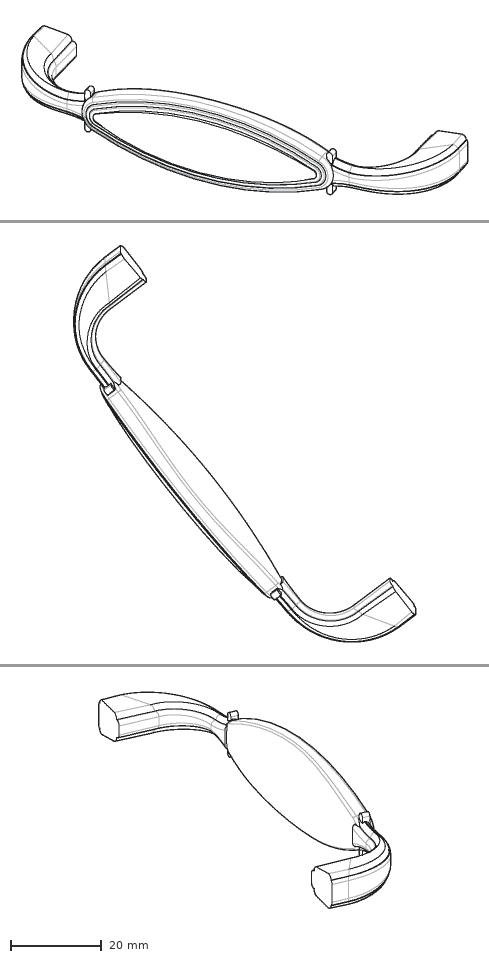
import cadquery as cq
import math


LENGTH = 106.0
HALF_LENGTH = LENGTH / 2
FOOT_DEPTH = 9.3
OUTER_BEND_RADIUS = 18.1
INNER_BEND_RADIUS = 8.5
OUTER_BEND_Y = -4.2
NECK_FRONT_Y = OUTER_BEND_Y - OUTER_BEND_RADIUS
NECK_THICKNESS = 3.8
NECK_BACK_Y = NECK_FRONT_Y + NECK_THICKNESS
INNER_BEND_Y = NECK_BACK_Y + INNER_BEND_RADIUS
OUTER_BEND_X = -HALF_LENGTH + OUTER_BEND_RADIUS
INNER_BEND_X = -HALF_LENGTH + FOOT_DEPTH + INNER_BEND_RADIUS
BEND_STEPS = 14
NECK_END_X = -29.0

NECK_WAIST_X = -36.0
NECK_HALF_HEIGHT = 5.6 / 2
FOOT_FLARE = 1.6
FOOT_FLARE_POWER = 1.4
NECK_FLARE_RADIUS = 19.1

MOULDING_HEIGHT = 2.2
NOTCH_HEIGHT = 1.3
OUTER_MOULDING = 1.5
OUTER_LOWER_BEAD = 0.2
INNER_MOULDING = 2.1
INNER_LOWER_BEAD = 1.0
NOTCH_WIDTH = 0.2

PLATE_HALF_HEIGHT = 20.0 / 2
PLATE_SIDE_RADIUS = 71.3
PLATE_TIP_RADIUS = 4.6
RIM_Y = -23.3
RIM_ROUND = 0.8
BACK_Y = -16.5
BACK_LONG_RADIUS = 177.0
BACK_CROSS_RADIUS = 15.5
BACK_EDGE_ROUND = 0.7
CROWN_MARGIN = 1.1

INSERT_INSET = 1.4
POCKET_DEPTH = 1.1
POCKET_FLOOR_Y = RIM_Y + POCKET_DEPTH
BEADS = ((INSERT_INSET, 0.3), (2.3, 0.5))
BEAD_ROUND = 0.26
DOME_INSET = 3.4
FRONT_Y = -25.3
FRONT_LONG_RADIUS = 286.2
FRONT_CROSS_RADIUS = 36.0

KNOB_X = 29.9
KNOB_RADIUS = 0.7
KNOB_REACH = 5.4
KNOB_BACK_Y = -20.1
KNOB_LENGTH = 1.9
KNOB_ROOT_Z = 2.6


def leg_half_height(x):
    """Half height of a leg: waisted at the neck, flaring to the foot and to the plate."""
    distance = NECK_WAIST_X - x
    if distance > 0:
        flare_length = HALF_LENGTH + NECK_WAIST_X
        return NECK_HALF_HEIGHT + FOOT_FLARE * (distance / flare_length) ** FOOT_FLARE_POWER
    return NECK_HALF_HEIGHT + distance**2 / (2 * NECK_FLARE_RADIUS)


def bead_arc(side_end, top_end):
    """Convex arc that leaves side_end vertically and ends at top_end."""
    upright = cq.Vector(0, 0, top_end.z - side_end.z)
    return cq.Edge.makeTangentArc(side_end, upright, top_end)


def leg_section(outer, inner):
    """Closed moulded section in the vertical plane through an outer and an inner XY point."""
    outer = cq.Vector(*outer)
    inner = cq.Vector(*inner)
    across = (inner - outer).normalized()

    def corner(from_edge, direction, width, lower_bead):
        """Four moulding points from the flat side up to the flat top."""
        places = (
            (0, MOULDING_HEIGHT),
            (lower_bead, NOTCH_HEIGHT),
            (lower_bead + NOTCH_WIDTH, NOTCH_HEIGHT),
            (width, 0),
        )
        points = []
        for inset, drop in places:
            flat = from_edge + direction * inset
            points.append(cq.Vector(flat.x, flat.y, leg_half_height(flat.x) - drop))
        return points

    def mirrored(points):
        return [cq.Vector(p.x, p.y, -p.z) for p in points]

    outer_top = corner(outer, across, OUTER_MOULDING, OUTER_LOWER_BEAD)
    inner_top = corner(inner, across * -1, INNER_MOULDING, INNER_LOWER_BEAD)
    outer_bottom = mirrored(outer_top)
    inner_bottom = mirrored(inner_top)

    def moulding(points):
        """Lower bead, notch and upper bead of one corner, from the side to the top or bottom."""
        return [
            bead_arc(points[0], points[1]),
            cq.Edge.makeLine(points[1], points[2]),
            bead_arc(points[2], points[3]),
        ]

    edges = [
        *moulding(outer_top),
        cq.Edge.makeLine(outer_top[-1], inner_top[-1]),
        *reversed(moulding(inner_top)),
        cq.Edge.makeLine(inner_top[0], inner_bottom[0]),
        *moulding(inner_bottom),
        cq.Edge.makeLine(inner_bottom[-1], outer_bottom[-1]),
        *reversed(moulding(outer_bottom)),
        cq.Edge.makeLine(outer_bottom[0], outer_top[0]),
    ]
    return cq.Wire.assembleEdges(edges)


def make_left_leg():
    """Straight foot, tapering bend and neck that runs into the plate."""
    bend = []
    for step in range(BEND_STEPS + 1):
        angle = math.radians(90 * step / BEND_STEPS)
        outer = (
            OUTER_BEND_X - OUTER_BEND_RADIUS * math.cos(angle),
            OUTER_BEND_Y - OUTER_BEND_RADIUS * math.sin(angle),
        )
        inner = (
            INNER_BEND_X - INNER_BEND_RADIUS * math.cos(angle),
            INNER_BEND_Y - INNER_BEND_RADIUS * math.sin(angle),
        )
        bend.append(leg_section(outer, inner))
    foot_end = leg_section((-HALF_LENGTH, 0), (-HALF_LENGTH + FOOT_DEPTH, 0))
    neck_middle_x = (OUTER_BEND_X + NECK_END_X) / 2
    neck = [leg_section((x, NECK_FRONT_Y), (x, NECK_BACK_Y)) for x in (neck_middle_x, NECK_END_X)]
    foot_solid = cq.Solid.makeLoft([foot_end, bend[0]], True)
    bend_solid = cq.Solid.makeLoft(bend)
    neck_solid = cq.Solid.makeLoft([bend[-1]] + neck)
    return cq.Workplane(foot_solid).union(cq.Workplane(bend_solid)).union(cq.Workplane(neck_solid))


def almond(inset, back_y, front_y):
    """Prism along Y: two side arcs joined by rounded tips, inset from the plate outline."""
    side_radius = PLATE_SIDE_RADIUS - inset
    tip_radius = PLATE_TIP_RADIUS - inset
    side_centre = PLATE_SIDE_RADIUS - PLATE_HALF_HEIGHT
    tip_centre = math.sqrt((side_radius - tip_radius) ** 2 - side_centre**2)
    lean = math.atan2(tip_centre, side_centre)
    join_x = side_radius * math.sin(lean)
    join_z = side_radius * math.cos(lean) - side_centre
    return (
        cq.Workplane("XZ", origin=(0, back_y, 0))
        .moveTo(-join_x, join_z)
        .threePointArc((0, side_radius - side_centre), (join_x, join_z))
        .threePointArc((tip_centre + tip_radius, 0), (join_x, -join_z))
        .threePointArc((0, side_centre - side_radius), (-join_x, -join_z))
        .threePointArc((-tip_centre - tip_radius, 0), (-join_x, join_z))
        .close()
        .extrude(back_y - front_y)
    )


def crowned_block(apex_y, direction, long_radius, cross_radius):
    """Ring segment whose doubly curved outside peaks at apex_y, facing along direction (+1 or -1)."""
    half_chord = PLATE_HALF_HEIGHT + CROWN_MARGIN
    edge_y = apex_y - direction * (cross_radius - math.sqrt(cross_radius**2 - half_chord**2))
    base_y = edge_y - direction * cross_radius
    axis_y = apex_y - direction * long_radius
    return (
        cq.Workplane("YZ")
        .moveTo(edge_y, -half_chord)
        .threePointArc((apex_y, 0), (edge_y, half_chord))
        .lineTo(base_y, half_chord)
        .lineTo(base_y, -half_chord)
        .close()
        .revolve(360, (axis_y, 0, 0), (axis_y, 1, 0))
    )


def make_plate():
    """Almond plate with a crowned back and a rounded front rim."""
    plate = almond(0, BACK_Y, RIM_Y).faces("<Y").edges().fillet(RIM_ROUND)
    plate = plate.intersect(crowned_block(BACK_Y, 1, BACK_LONG_RADIUS, BACK_CROSS_RADIUS))
    return plate.faces(">Y").edges().fillet(BACK_EDGE_ROUND)


def make_knob(x, side):
    """Upright round-topped knob on the top (side +1) or bottom (side -1) of a plate tip."""
    axis_z = KNOB_REACH - KNOB_RADIUS
    return (
        cq.Workplane("XZ", origin=(x, KNOB_BACK_Y, 0))
        .moveTo(-KNOB_RADIUS, side * KNOB_ROOT_Z)
        .lineTo(-KNOB_RADIUS, side * axis_z)
        .threePointArc((0, side * KNOB_REACH), (KNOB_RADIUS, side * axis_z))
        .lineTo(KNOB_RADIUS, side * KNOB_ROOT_Z)
        .close()
        .extrude(KNOB_LENGTH)
    )


def make_handle():
    left_leg = make_left_leg()
    handle = make_plate().union(left_leg).union(left_leg.mirror("YZ"))
    for x in (-KNOB_X, KNOB_X):
        for side in (-1, 1):
            handle = handle.union(make_knob(x, side))
    return handle.cut(almond(INSERT_INSET, POCKET_FLOOR_Y, FRONT_Y))


def make_insert():
    """Crowned almond with two stepped beads around it, seated in the pocket of the plate."""
    crown = crowned_block(FRONT_Y, -1, FRONT_LONG_RADIUS, FRONT_CROSS_RADIUS)
    insert = almond(DOME_INSET, POCKET_FLOOR_Y, FRONT_Y).intersect(crown)
    for inset, rise in BEADS:
        bead = almond(inset, POCKET_FLOOR_Y, RIM_Y - rise).faces("<Y").edges().fillet(BEAD_ROUND)
        insert = insert.union(bead)
    return insert


handle = make_handle().solids()
insert = make_insert().solids()
result = cq.Compound.makeCompound([handle.val(), insert.val()])